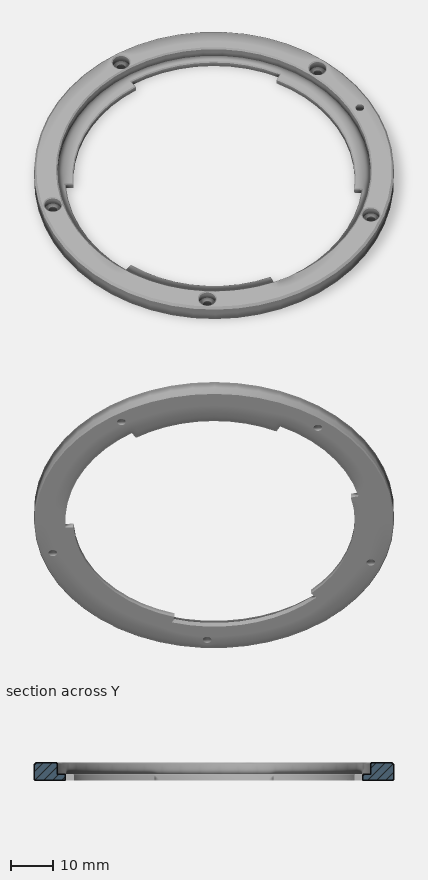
import cadquery as cq
import math

outer_diameter = 85.0
height = 4.25
bore_diameter = 74.0
outer_chamfer = 0.5
bottom_chamfer = 0.25
bore_chamfer = 0.3

ledge_thickness = 1.5
ledge_diameter = 70.2
tab_diameter = 66.5
ledge_chamfer = 0.25
chamfer_angle = 45.0
tab_spans = [(55, 125), (185, 245), (295, 355)]

screw_count = 5
screw_first_angle = 41.0
screw_circle_radius = 39.5
screw_hole_diameter = 2.0
counterbore_diameter = 4.0
counterbore_depth = 2.1
counterbore_chamfer = 0.25

pin_hole_diameter = 2.0
pin_hole_depth = 2.1
pin_hole_radius = 39.3
drill_point_angle = 118.0


def polar_point(radius, angle):
    """Point at a radius and an angle in degrees around the ring axis."""
    return radius * math.cos(math.radians(angle)), radius * math.sin(math.radians(angle))


def cylinder(diameter, bottom, top):
    return cq.Workplane("XY").workplane(offset=bottom).circle(diameter / 2).extrude(top - bottom)


def ring_body():
    """Solid disc, chamfered outside and counterbored down to the ledge."""
    disc = cylinder(outer_diameter, 0, height)
    disc = disc.faces(">Z").chamfer(outer_chamfer)
    disc = disc.faces("<Z").chamfer(bottom_chamfer)
    bore = cylinder(bore_diameter, ledge_thickness, height)
    bore_mouth = countersink(bore_diameter, bore_chamfer)
    return disc.cut(bore).cut(bore_mouth)


def countersink(diameter, chamfer):
    """Cutter for a 45 degree chamfer where a hole meets the top face."""
    radius = diameter / 2
    return (
        cq.Workplane("XZ")
        .polyline([(0, height - chamfer), (radius, height - chamfer), (radius + chamfer, height), (0, height)])
        .close()
        .revolve(360, (0, 0), (0, 1))
    )


def tab_sector(start, end):
    """Ring sector that remains standing inside the ledge opening."""
    inner = tab_diameter / 2
    outer = ledge_diameter / 2
    middle = (start + end) / 2
    return (
        cq.Workplane("XY")
        .moveTo(*polar_point(inner, start))
        .lineTo(*polar_point(outer, start))
        .threePointArc(polar_point(outer, middle), polar_point(outer, end))
        .lineTo(*polar_point(inner, end))
        .threePointArc(polar_point(inner, middle), polar_point(inner, start))
        .close()
        .extrude(ledge_thickness)
    )


def ledge_opening():
    """Cutter for the opening through the ledge, widened at its upper edge."""
    opening = cylinder(ledge_diameter, 0, ledge_thickness)
    for start, end in tab_spans:
        opening = opening.cut(tab_sector(start, end))
    upper_outline = opening.faces(">Z").wires().val()
    edge_cut = (
        cq.Workplane("XY")
        .add(upper_outline.translate(cq.Vector(0, 0, -ledge_chamfer)))
        .toPending()
        .extrude(ledge_chamfer, taper=-chamfer_angle)
    )
    return opening.union(edge_cut)


def screw_hole():
    counterbore = cylinder(counterbore_diameter, height - counterbore_depth, height)
    through_hole = cylinder(screw_hole_diameter, 0, height)
    return through_hole.union(counterbore).union(countersink(counterbore_diameter, counterbore_chamfer))


def pin_hole():
    radius = pin_hole_diameter / 2
    shoulder = height - pin_hole_depth
    tip = shoulder - radius / math.tan(math.radians(drill_point_angle / 2))
    return (
        cq.Workplane("XZ")
        .polyline([(0, tip), (radius, shoulder), (radius, height), (0, height)])
        .close()
        .revolve(360, (0, 0), (0, 1))
    )


result = ring_body().cut(ledge_opening())

for index in range(screw_count):
    angle = screw_first_angle + index * 360 / screw_count
    result = result.cut(screw_hole().translate((*polar_point(screw_circle_radius, angle), 0)))

result = result.cut(pin_hole().translate((0, pin_hole_radius, 0)))